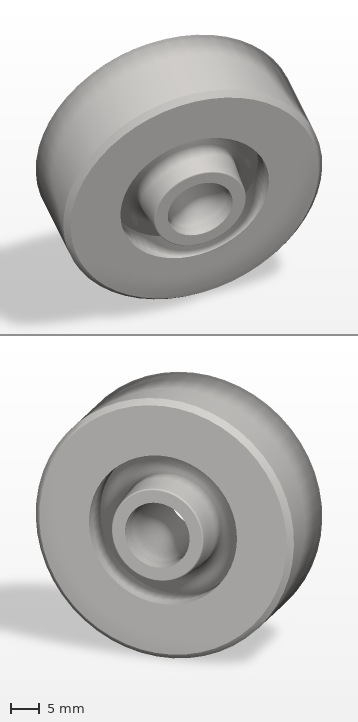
import cadquery as cq
import math


tyre_diameter = 48.0
tyre_width = 17.0
tyre_chamfer = 1.0

core_diameter = 27.5
web_width = 5.0
hub_length = 23.0
hub_end_diameter = 17.05
hub_draft_angle = 5.0
hub_edge_radius = 0.3
web_fillet_radius = 2.0
axle_bore_diameter = 12.0


def make_tyre():
    """Plain ring with both outer edges chamfered."""
    half_width = tyre_width / 2
    bore_radius = core_diameter / 2
    outer_radius = tyre_diameter / 2
    tyre = (
        cq.Workplane("XZ")
        .moveTo(-half_width, bore_radius)
        .lineTo(-half_width, outer_radius)
        .lineTo(half_width, outer_radius)
        .lineTo(half_width, bore_radius)
        .close()
        .revolve(360, (0, 0, 0), (1, 0, 0))
    )
    outer_rims = tyre.faces("<X or >X").edges(cq.selectors.RadiusNthSelector(1))
    return outer_rims.chamfer(tyre_chamfer)


def make_core():
    """Web and double-tapered hub, revolved as one body, with the axle bore through it."""
    half_hub = hub_length / 2
    half_web = web_width / 2
    end_radius = hub_end_diameter / 2
    root_radius = end_radius + (half_hub - half_web) * math.tan(math.radians(hub_draft_angle))
    bore_radius = axle_bore_diameter / 2
    core_radius = core_diameter / 2

    core = (
        cq.Workplane("XZ")
        .moveTo(-half_hub, bore_radius)
        .lineTo(-half_hub, end_radius)
        .lineTo(-half_web, root_radius)
        .lineTo(-half_web, core_radius)
        .lineTo(half_web, core_radius)
        .lineTo(half_web, root_radius)
        .lineTo(half_hub, end_radius)
        .lineTo(half_hub, bore_radius)
        .close()
        .revolve(360, (0, 0, 0), (1, 0, 0))
    )
    hub_roots = core.edges(cq.selectors.RadiusNthSelector(2))
    core = hub_roots.fillet(web_fillet_radius)
    hub_end_rims = core.faces("<X or >X").edges(cq.selectors.RadiusNthSelector(1))
    return hub_end_rims.fillet(hub_edge_radius)


tyre = make_tyre()
core = make_core()

result = cq.Compound.makeCompound([tyre.val(), core.val()])